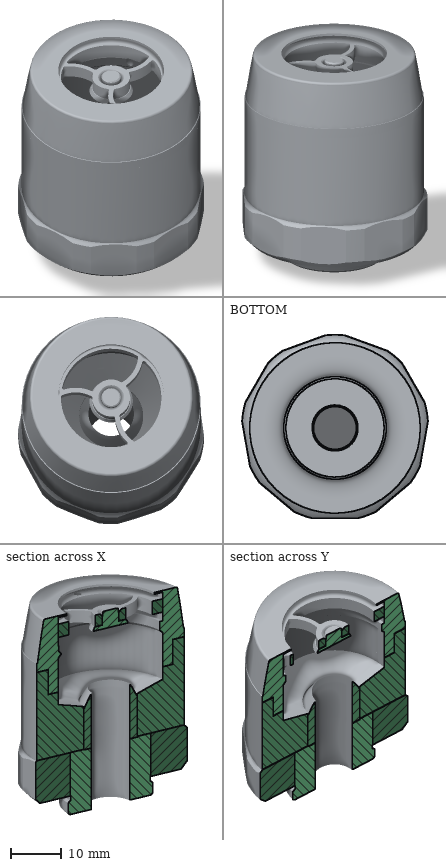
import cadquery as cq
import math

total_height = 42.9
nut_bottom = 3.95
nut_top = 13.15
spigot_bottom = 26.6
cap_seat = 31.9
taper_bottom = 33.8
spider_top = 41.15

body_radius = 17.75
chamber_radius = 12.45
spigot_radius = 15.02
throat_radius = 6.35
neck_radius = 9.55
bore_radius = 4.5
stem_radius = 1.95

taper_foot_radius = 17.6
taper_bulge = 0.065
cap_top_radius = 16.15
cap_edge_fillet = 0.5
mouth_radius = 10.47
lip_thickness = 0.47
ledge_radius = 11.8
ledge_top = 36.5
ledge_bottom = 34.55
undercut_chamfer = chamber_radius - ledge_radius

pin_hole_radius = 0.77
pin_circle_radius = 11.6
ledge_notch_depth = 1.65

funnel_top = 24.05
funnel_drop = 1.7

nut_sides = 9
nut_corner_radius = 18.5
nut_flat_distance = 17.95
nut_turn = -10.0
nut_top_chamfer = nut_corner_radius - body_radius
nut_bottom_chamfer = 1.6

nose_height = 3.0
nose_bulge = 0.15
nose_drop = 0.45

flange_radius = 10.17
flange_height = 3.05
flange_chamfer = 0.45

ring_inner_radius = 9.95
ring_height = 2.9
hub_radius = 3.75
hub_height = 2.58
countersink_radius = 2.58
spoke_count = 3
spoke_width = 0.95
spoke_arc_radius = 7.1
spoke_arc_center = (-6.85, -5.7)
spoke_fillet = 0.35
spoke_overlap = 0.2

stem_rise = 0.4
stem_chamfer = 0.235
head_top_radius = 3.85
head_bottom_radius = 4.3
head_height = 0.85


def ring(outer_radius, inner_radius, bottom, height):
    base = cq.Workplane("XY").workplane(offset=bottom)
    return base.circle(outer_radius).circle(inner_radius).extrude(height)


def cylinder(radius, bottom, height, x=0.0, y=0.0):
    return cq.Workplane("XY").workplane(offset=bottom).center(x, y).circle(radius).extrude(height)


def revolved(sketch):
    """Closes a radius-height outline and turns it about the Z axis."""
    return sketch.close().revolve(360, (0, 0, 0), (0, 1, 0))


def make_cap():
    """Tapered cap with a mouth on top, an inner ledge and a spigot that plugs into the housing."""
    taper_top = total_height - cap_edge_fillet
    taper_middle_radius = (taper_foot_radius + cap_top_radius) / 2 + taper_bulge
    taper_middle = (taper_bottom + taper_top) / 2
    fillet_middle = cap_edge_fillet * (1 - math.sqrt(0.5))
    lip_bottom = total_height - lip_thickness
    cap = revolved(
        cq.Workplane("XZ")
        .moveTo(chamber_radius, spigot_bottom)
        .lineTo(spigot_radius, spigot_bottom)
        .lineTo(spigot_radius, cap_seat)
        .lineTo(body_radius, cap_seat)
        .lineTo(body_radius, taper_bottom)
        .lineTo(taper_foot_radius, taper_bottom)
        .threePointArc((taper_middle_radius, taper_middle), (cap_top_radius, taper_top))
        .threePointArc(
            (cap_top_radius - fillet_middle, total_height - fillet_middle),
            (cap_top_radius - cap_edge_fillet, total_height),
        )
        .lineTo(mouth_radius, total_height)
        .lineTo(mouth_radius, lip_bottom)
        .lineTo(chamber_radius, lip_bottom)
        .lineTo(chamber_radius, ledge_top)
        .lineTo(ledge_radius, ledge_top)
        .lineTo(ledge_radius, ledge_bottom)
        .lineTo(chamber_radius, ledge_bottom - undercut_chamfer)
    )
    ball_level = ledge_top - ledge_notch_depth + pin_hole_radius
    notch = cylinder(pin_hole_radius, ball_level, ledge_top - ball_level, y=pin_circle_radius)
    notch_end = cq.Workplane("XY").sphere(pin_hole_radius).translate((0, pin_circle_radius, ball_level))
    return cap.cut(notch).cut(notch_end)


def make_housing():
    """Round body with a seat for the cap and a shallow funnel that leads to the throat."""
    return revolved(
        cq.Workplane("XZ")
        .moveTo(throat_radius, nut_top)
        .lineTo(body_radius, nut_top)
        .lineTo(body_radius, cap_seat)
        .lineTo(spigot_radius, cap_seat)
        .lineTo(spigot_radius, spigot_bottom)
        .lineTo(chamber_radius, spigot_bottom)
        .lineTo(chamber_radius, funnel_top)
        .lineTo(throat_radius, funnel_top - funnel_drop)
    )


def make_nut():
    """Chamfered disc trimmed by a nine-sided prism with one flat facing +Y."""
    blank = revolved(
        cq.Workplane("XZ")
        .moveTo(neck_radius, nut_bottom)
        .lineTo(nut_corner_radius - nut_bottom_chamfer, nut_bottom)
        .lineTo(nut_corner_radius, nut_bottom + nut_bottom_chamfer)
        .lineTo(nut_corner_radius, nut_top - nut_top_chamfer)
        .lineTo(body_radius, nut_top)
        .lineTo(neck_radius, nut_top)
    )
    across_corners = 2 * nut_flat_distance / math.cos(math.pi / nut_sides)
    prism = (
        cq.Workplane("XY")
        .workplane(offset=nut_bottom)
        .polygon(nut_sides, across_corners)
        .extrude(nut_top - nut_bottom)
        .rotate((0, 0, 0), (0, 0, 1), nut_turn)
    )
    return blank.intersect(prism)


def make_neck():
    """Bored tube inside the nut with a chamfered flange at its foot."""
    flange = cylinder(flange_radius, 0, flange_height).edges().chamfer(flange_chamfer)
    tube = cylinder(neck_radius, flange_height, nut_top - flange_height)
    return flange.union(tube).cut(cylinder(bore_radius, 0, nut_top))


def make_sleeve():
    """Tube in the housing throat whose nose narrows in a slight bulge up to the bore."""
    shoulder = funnel_top - funnel_drop - nose_drop
    nose_middle = ((bore_radius + throat_radius) / 2 + nose_bulge, shoulder + nose_height / 2)
    return revolved(
        cq.Workplane("XZ")
        .moveTo(bore_radius, nut_top)
        .lineTo(throat_radius, nut_top)
        .lineTo(throat_radius, shoulder)
        .threePointArc(nose_middle, (bore_radius, shoulder + nose_height))
    )


def make_spoke():
    """One curved spoke: the part of an off-centre thin tube that lies between hub and ring."""
    bottom = spider_top - hub_height
    center_x, center_y = spoke_arc_center
    half_width = spoke_width / 2
    tube = cylinder(spoke_arc_radius + half_width, bottom, hub_height, center_x, center_y).cut(
        cylinder(spoke_arc_radius - half_width, bottom, hub_height, center_x, center_y)
    )
    span = ring(ring_inner_radius + spoke_overlap, hub_radius - spoke_overlap, bottom, hub_height)
    lowest_y = -hub_radius / 2
    upper_side = (
        cq.Workplane("XY")
        .box(2 * chamber_radius, chamber_radius, total_height, centered=(True, False, False))
        .translate((0, lowest_y, 0))
    )
    return tube.intersect(span).intersect(upper_side)


def make_spider():
    """Guide ring and hub joined by curved spokes, with a countersunk hole for the poppet stem."""
    hub_bottom = spider_top - hub_height
    spider = ring(chamber_radius, ring_inner_radius, spider_top - ring_height, ring_height)
    spider = spider.union(cylinder(hub_radius, hub_bottom, hub_height))
    spoke = make_spoke()
    for index in range(spoke_count):
        spider = spider.union(spoke.rotate((0, 0, 0), (0, 0, 1), index * 360 / spoke_count))
    spoke_corners = spider.edges("|Z").filter(lambda edge: math.isclose(edge.Length(), hub_height))
    spider = spoke_corners.fillet(spoke_fillet)
    spider = spider.cut(cylinder(stem_radius, hub_bottom, hub_height))
    countersink_depth = countersink_radius - stem_radius
    countersink = revolved(
        cq.Workplane("XZ")
        .moveTo(0, spider_top - countersink_depth)
        .lineTo(stem_radius, spider_top - countersink_depth)
        .lineTo(countersink_radius, spider_top)
        .lineTo(0, spider_top)
    )
    spider = spider.cut(countersink)
    return spider.cut(cylinder(pin_hole_radius, spider_top - ring_height, ring_height, x=pin_circle_radius))


def make_poppet():
    """Stem that runs through the spider hub, with a flared head under the hub."""
    head_top = spider_top - hub_height
    stem_top = spider_top + stem_rise
    return revolved(
        cq.Workplane("XZ")
        .moveTo(0, head_top - head_height)
        .lineTo(head_bottom_radius, head_top - head_height)
        .lineTo(head_top_radius, head_top)
        .lineTo(stem_radius, head_top)
        .lineTo(stem_radius, stem_top - stem_chamfer)
        .lineTo(stem_radius - stem_chamfer, stem_top)
        .lineTo(0, stem_top)
    )


cap = make_cap()
housing = make_housing()
nut = make_nut()
neck = make_neck()
sleeve = make_sleeve()
spider = make_spider()
poppet = make_poppet()

result = cq.Compound.makeCompound(
    [cap.val(), housing.val(), nut.val(), neck.val(), sleeve.val(), spider.val(), poppet.val()]
)